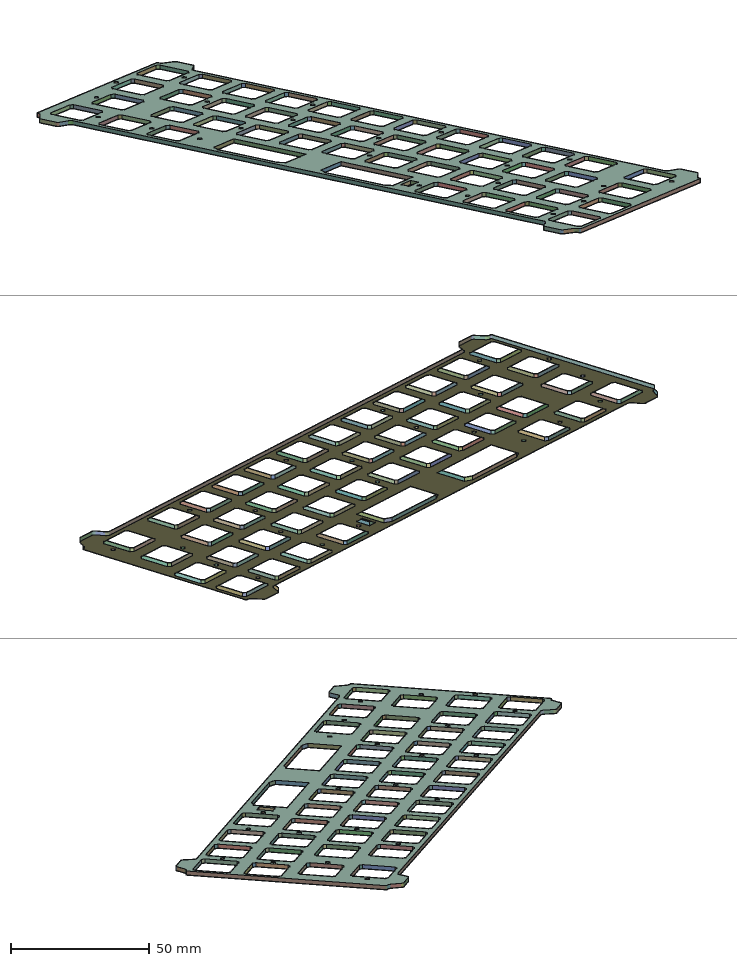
import cadquery as cq

UNIT = 19.05
LAYOUT_WIDTH_UNITS = 12.75
ROW_COUNT = 4
CASE_CLEARANCE = 1.05
PLATE_THICKNESS = 1.59
PLATE_CORNER_RADIUS = 0.5

SWITCH_WIDTH = 14.6
SWITCH_HEIGHT = 14.0
SWITCH_CORNER_BEVEL = 1.0

SPACEBAR_CUTOUT_WIDTH = 32.0
SPACEBAR_BEVEL_WIDTH = 3.0
SPACEBAR_BEVEL_HEIGHT = 1.5
SLOT_WIDTH = 3.5
SLOT_HEIGHT = 6.0
SLOT_CENTER_UNITS = 8.4

SCREW_HOLE_DIAMETER = 1.6

TAB_HEIGHT = 5.0
TAB_BASE_START = 1.7
TAB_TIP_START = 4.7
TAB_TIP_END = 13.0
TAB_BASE_END = 15.3
TAB_TIP_RADIUS = 1.3
TAB_OUTER_ROOT_RADIUS = 2.0
TAB_INNER_ROOT_RADIUS = 1.75
TAB_OVERLAP = 1.25

KEY_WIDTHS = [
    [1] * 11 + [1.75],
    [1.25] + [1] * 10 + [1.5],
    [1.75] + [1] * 11,
    [1.25, 1, 1.25, 2.75, 2.25, 1.25, 1, 1, 1],
]
SPACEBAR_MIN_UNITS = 2

SCREW_HOLE_UNITS = [
    [1, 4, 7, 10, 12.375],
    [0.125, 2.25, 4.25, 6.25, 9.25, 11.5],
    [0.375, 3.75, 6.75, 9.75, 11.75],
    [1.125, 2.375, 3.5, 8.625, 9.75, 11.75],
]

PLATE_WIDTH = LAYOUT_WIDTH_UNITS * UNIT - CASE_CLEARANCE
PLATE_DEPTH = ROW_COUNT * UNIT - CASE_CLEARANCE


def column_x(units):
    """X of a position given in key units from the left of the key field."""
    return (units - LAYOUT_WIDTH_UNITS / 2) * UNIT


def row_y(row):
    """Y of the centre line of a key row, row 0 being at +Y."""
    return ((ROW_COUNT - 1) / 2 - row) * UNIT


def key_centers(wide):
    """Centres of all spacebar keys (wide) or all other keys (not wide)."""
    centers = []
    for row, widths in enumerate(KEY_WIDTHS):
        start = 0
        for width in widths:
            if (width >= SPACEBAR_MIN_UNITS) == wide:
                centers.append((column_x(start + width / 2), row_y(row)))
            start += width
    return centers


def box_cutter(width, height):
    return cq.Workplane("XY").rect(width, height).extrude(PLATE_THICKNESS)


def corner_tab():
    """Tapered tab at the -X end of the +Y edge, rooted inside the plate."""
    left = -PLATE_WIDTH / 2
    root = PLATE_DEPTH / 2
    tip = root + TAB_HEIGHT
    inside = root - TAB_OVERLAP
    return (
        cq.Workplane("XY")
        .moveTo(left + TAB_BASE_START, inside)
        .lineTo(left + TAB_BASE_START, root)
        .lineTo(left + TAB_TIP_START, tip)
        .lineTo(left + TAB_TIP_END, tip)
        .lineTo(left + TAB_BASE_END, root)
        .lineTo(left + TAB_BASE_END, inside)
        .close()
        .extrude(PLATE_THICKNESS)
        .edges("|Z and >Y")
        .fillet(TAB_TIP_RADIUS)
    )


def plate_blank():
    """Plate with its four corner tabs, filleted where each tab meets the plate edge."""
    plate = box_cutter(PLATE_WIDTH, PLATE_DEPTH).edges("|Z").fillet(PLATE_CORNER_RADIUS)
    upper_left = corner_tab()
    upper_right = upper_left.mirror("YZ")
    for tab in (upper_left, upper_right):
        plate = plate.union(tab).union(tab.mirror("XZ"))
    tab_roots = (
        (TAB_BASE_START, TAB_OUTER_ROOT_RADIUS),
        (TAB_BASE_END, TAB_INNER_ROOT_RADIUS),
    )
    for base, radius in tab_roots:
        x = PLATE_WIDTH / 2 - base
        y = PLATE_DEPTH / 2
        for corner_x, corner_y in ((x, y), (x, -y), (-x, y), (-x, -y)):
            corner = (corner_x, corner_y, PLATE_THICKNESS / 2)
            plate = plate.edges(cq.selectors.NearestToPointSelector(corner)).fillet(radius)
    return plate


def switch_cutter():
    return box_cutter(SWITCH_WIDTH, SWITCH_HEIGHT).edges("|Z").chamfer(SWITCH_CORNER_BEVEL)


def spacebar_cutter():
    """Wide opening for a spacebar switch and its stabilizer, beveled along the -Y side only."""
    side = SPACEBAR_CUTOUT_WIDTH / 2
    top = SWITCH_HEIGHT / 2
    bevel_x = side - SPACEBAR_BEVEL_WIDTH
    bevel_y = SPACEBAR_BEVEL_HEIGHT - top
    outline = [
        (-side, top),
        (side, top),
        (side, bevel_y),
        (bevel_x, -top),
        (-bevel_x, -top),
        (-side, bevel_y),
    ]
    return cq.Workplane("XY").polyline(outline).close().extrude(PLATE_THICKNESS)


def slot_cutter():
    return box_cutter(SLOT_WIDTH, SLOT_HEIGHT)


def screw_hole_cutter():
    return cq.Workplane("XY").circle(SCREW_HOLE_DIAMETER / 2).extrude(PLATE_THICKNESS)


def screw_hole_centers():
    return [
        (column_x(units), row_y(row))
        for row, columns in enumerate(SCREW_HOLE_UNITS)
        for units in columns
    ]


def cut_at(plate, cutter, centers):
    """Cut one copy of the cutter at each centre."""
    solid = cutter.val()
    copies = cq.Workplane("XY").pushPoints(centers).eachpoint(lambda place: solid.moved(place))
    return plate.cut(cq.Workplane(cq.Compound.makeCompound(copies.vals())))


result = plate_blank()
result = cut_at(result, switch_cutter(), key_centers(wide=False))
result = cut_at(result, spacebar_cutter(), key_centers(wide=True))
result = cut_at(result, slot_cutter(), [(column_x(SLOT_CENTER_UNITS), row_y(ROW_COUNT - 1))])
result = cut_at(result, screw_hole_cutter(), screw_hole_centers())